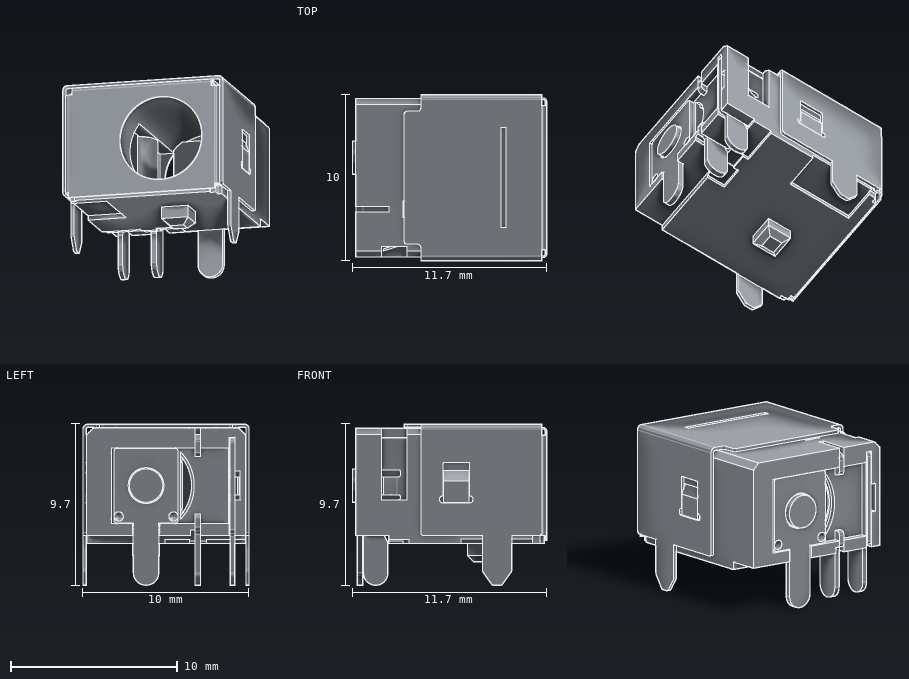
import cadquery as cq

OVERALL_X = 11.7
OVERALL_Y = 10.0
OVERALL_Z = 9.7
CUT_MARGIN = 0.12

SHEET = 0.2
SHELL_BEND = 0.29
SHELL_FRONT = 4.12
SHELL_REAR = 11.41
SHELL_BOTTOM = 2.98
SHELL_CORNER = 0.2
TONGUE_FRONT = 3.11
TONGUE_HALF = 4.0
SHELL_HALF = OVERALL_Y / 2
SHELL_INNER_HALF = SHELL_HALF - SHEET
SHELL_INNER_TOP = OVERALL_Z - SHEET

TOP_GAP = 0.05
SIDE_GAP = 0.02
FACE_X = 0.2
HOUSING_REAR = 11.3
HOUSING_HALF = SHELL_INNER_HALF - SIDE_GAP
HOUSING_TOP = SHELL_INNER_TOP - TOP_GAP
HOUSING_CHAMFER = 0.39
HOUSING_BOTTOM = SHELL_BOTTOM
FOOT_BOTTOM = 2.52
FOOT_FRONT = 2.19
FOOT_REAR = 11.55

AXIS_Y = 1.2
AXIS_Z = 6.0
MOUTH_RADIUS = 2.56
BORE_RADIUS = 2.74
LIP_RADIUS = 2.9
LIP_DEPTH = 0.3

RECESS_FLOOR = 0.63
RECESS_Y = (-3.75, 3.29)
RECESS_Z = (3.71, 8.27)

LEG_X = (0.67, 2.14)
SIDE_TERMINAL_Y = (-4.14, -3.85)
MID_TERMINAL_Y = (-2.07, -1.73)


def box(x, y, z):
    """Block given by its (low, high) range along each axis."""
    size = (x[1] - x[0], y[1] - y[0], z[1] - z[0])
    return cq.Workplane("XY").box(*size, centered=False).translate((x[0], y[0], z[0]))


def cylinder_x(radius, x, y=AXIS_Y, z=AXIS_Z):
    """Round bar along X over the (low, high) range x."""
    return cq.Workplane("YZ", origin=(x[0], y, z)).circle(radius).extrude(x[1] - x[0])


WINDOW_X = (5.44, 7.05)
WINDOW_Z = (4.96, 7.38)
WINDOW_ROUND = 0.07
WINDOW_LOBE_HEIGHT = 0.42
WINDOW_LOBE_ROUND = 0.2
WINDOW_LOBE_X = (5.24, 7.25)
SHELL_LEG_X = (7.82, 9.59)
SHELL_LEG_TIP_X = (8.41, 8.99)
SHELL_LEG_TAPER_Z = 0.85
SHELL_LEG_ROUND = 0.18
TOP_SLOT_X = (8.95, 9.25)
TOP_SLOT_HALF = 3.01
END_SHEET = 0.1
END_BEND = 0.22
END_NOTCH = 0.46
END_BOTTOM = 2.69
END_FLANGE_FRONT = 11.06


def shell_cover():
    """Sheet bent over the top and both sides, with the tongue at the front of the top."""
    outer = box((TONGUE_FRONT, SHELL_REAR), (-SHELL_HALF, SHELL_HALF), (SHELL_BOTTOM, OVERALL_Z))
    outer = outer.edges("|X and >Z").fillet(SHELL_BEND)
    inner = box(
        (TONGUE_FRONT, SHELL_REAR),
        (-SHELL_INNER_HALF, SHELL_INNER_HALF),
        (SHELL_BOTTOM, SHELL_INNER_TOP),
    )
    inner = inner.edges("|X and >Z").fillet(SHELL_BEND - SHEET)
    cover = outer.cut(inner)

    top_outline = (
        box((SHELL_FRONT, SHELL_REAR), (-SHELL_HALF, SHELL_HALF), (0, OVERALL_Z))
        .union(box((TONGUE_FRONT, SHELL_REAR), (-TONGUE_HALF, TONGUE_HALF), (0, OVERALL_Z)))
    )
    tongue_corners = cq.selectors.BoxSelector(
        (TONGUE_FRONT - CUT_MARGIN, -TONGUE_HALF - CUT_MARGIN, 0),
        (SHELL_FRONT + CUT_MARGIN, TONGUE_HALF + CUT_MARGIN, OVERALL_Z),
    )
    top_outline = top_outline.edges("|Z").edges(tongue_corners).fillet(SHELL_CORNER)
    cover = cover.intersect(top_outline)

    return cover.faces("<Z").edges("|Y").fillet(SHELL_CORNER)


def shell_windows():
    """Latch windows through both sides, each with a rounded lobe at either lower corner."""
    depth_y = (-SHELL_HALF - CUT_MARGIN, SHELL_HALF + CUT_MARGIN)
    window = box(WINDOW_X, depth_y, WINDOW_Z).edges("|Y and >Z").fillet(WINDOW_ROUND)
    lobe_z = (WINDOW_Z[0], WINDOW_Z[0] + WINDOW_LOBE_HEIGHT)
    lobes = box(WINDOW_LOBE_X, depth_y, lobe_z).edges("|Y").fillet(WINDOW_LOBE_ROUND)
    return window.union(lobes)


def shell_leg(side):
    """Tapered solder leg hanging from the side wall at Y = side * SHELL_HALF."""
    start = SHELL_HALF if side > 0 else -SHELL_INNER_HALF
    leg = (
        cq.Workplane("XZ", origin=(0, start, 0))
        .moveTo(SHELL_LEG_X[0], SHELL_BOTTOM + SHELL_CORNER)
        .lineTo(SHELL_LEG_X[0], SHELL_LEG_TAPER_Z)
        .lineTo(SHELL_LEG_TIP_X[0], 0)
        .lineTo(SHELL_LEG_TIP_X[1], 0)
        .lineTo(SHELL_LEG_X[1], SHELL_LEG_TAPER_Z)
        .lineTo(SHELL_LEG_X[1], SHELL_BOTTOM + SHELL_CORNER)
        .close()
        .extrude(SHEET)
    )
    tip = cq.selectors.BoxSelector(
        (SHELL_LEG_X[0] - CUT_MARGIN, -OVERALL_Y, -CUT_MARGIN),
        (SHELL_LEG_X[1] + CUT_MARGIN, OVERALL_Y, SHELL_LEG_TAPER_Z + CUT_MARGIN),
    )
    return leg.edges("|Y").edges(tip).fillet(SHELL_LEG_ROUND)


def shell_end():
    """Thin end plate whose top and side flanges lie inside the cover, notched at the corners."""
    flange_x = (END_FLANGE_FRONT, OVERALL_X)
    outer = box(flange_x, (-SHELL_INNER_HALF, SHELL_INNER_HALF), (END_BOTTOM, SHELL_INNER_TOP))
    outer = outer.faces(">X").edges("|Z or >Z").fillet(END_BEND)
    inner_half = SHELL_INNER_HALF - END_SHEET
    inner = box(
        (END_FLANGE_FRONT, OVERALL_X - END_SHEET),
        (-inner_half, inner_half),
        (END_BOTTOM, SHELL_INNER_TOP - END_SHEET),
    )
    inner = inner.faces(">X").edges("|Z or >Z").fillet(END_BEND - END_SHEET)
    end = outer.cut(inner)
    for side in (-1, 1):
        edge_y = sorted((side * (SHELL_INNER_HALF - END_NOTCH), side * SHELL_HALF))
        end = end.cut(box(flange_x, edge_y, (SHELL_INNER_TOP - END_NOTCH, OVERALL_Z)))
        flange_y = sorted((side * (SHELL_INNER_HALF - END_BEND), side * SHELL_HALF))
        end = end.cut(box(flange_x, flange_y, (END_BOTTOM, SHELL_BOTTOM)))
    return end.cut(cylinder_x(MOUTH_RADIUS, flange_x))


def make_shell():
    shell = shell_cover().cut(shell_windows())
    slot_z = (SHELL_INNER_TOP - CUT_MARGIN, OVERALL_Z + CUT_MARGIN)
    shell = shell.cut(box(TOP_SLOT_X, (-TOP_SLOT_HALF, TOP_SLOT_HALF), slot_z))
    for side in (-1, 1):
        shell = shell.union(shell_leg(side))
    return shell.union(shell_end())


LATCH_X = (5.49, 7.01)
LATCH_Z = (5.0, 6.28, 6.9)
LATCH_SETBACK = 0.01
LATCH_FACE = SHELL_HALF - LATCH_SETBACK
REBATE_FRONT = 11
REBATE_DEPTH = 0.09
PEG_SIZE = 1.64
PEG_X = 6.91
PEG_BOTTOM = 1.42
PEG_CHAMFER = 0.39
FOOT_LIP_HALF = 4.21
FOOT_REAR_INSET = 0.23
EDGE_POCKET_DEPTH = 2.36
FRONT_POCKET_X = (FOOT_FRONT, 3.42)
FRONT_POCKET_TOP = 2.75
FRONT_POCKET_Y = (-1.42, 0.07)
MID_POCKET_X = (FOOT_FRONT, 3.04)
MID_POCKET_TOP = 2.66
REAR_POCKET_X = (6.53, 10.83)
REAR_POCKET_TOP = 2.8
SIDE_POCKET_X = (1.75, 3.28)
SIDE_POCKET_BOTTOM = 5.15
TOP_POCKET_X = (3.04, 4.68)
TOP_POCKET_Y = (-2.39, -1.39)
TOP_POCKET_FLOOR = 9.13


def housing_block():
    """Chamfered block on a foot with inset rear corners, rebated for the end plate's flanges."""
    block = box((FACE_X, HOUSING_REAR), (-HOUSING_HALF, HOUSING_HALF), (HOUSING_BOTTOM, HOUSING_TOP))
    block = block.edges("|X and >Z").chamfer(HOUSING_CHAMFER)
    rebate_x = (REBATE_FRONT, HOUSING_REAR)
    core_half = HOUSING_HALF - REBATE_DEPTH
    core = box(rebate_x, (-core_half, core_half), (0, HOUSING_TOP - REBATE_DEPTH))
    core = core.edges("|X and >Z").chamfer(HOUSING_CHAMFER)
    block = block.cut(box(rebate_x, (-SHELL_HALF, SHELL_HALF), (0, OVERALL_Z)).cut(core))

    foot = box((FOOT_FRONT, HOUSING_REAR), (-HOUSING_HALF, HOUSING_HALF), (FOOT_BOTTOM, HOUSING_BOTTOM))
    for side in (-1, 1):
        inset_y = sorted((side * (HOUSING_HALF - FOOT_REAR_INSET), side * SHELL_HALF))
        foot = foot.cut(box((REAR_POCKET_X[1], HOUSING_REAR), inset_y, (FOOT_BOTTOM, HOUSING_BOTTOM)))
    rear_lip = box((HOUSING_REAR, FOOT_REAR), (-FOOT_LIP_HALF, FOOT_LIP_HALF), (FOOT_BOTTOM, HOUSING_BOTTOM))
    return block.union(foot).union(rear_lip)


def foot_pockets():
    """Shallow pockets under the foot that leave standing pads."""
    edge_y = (-HOUSING_HALF, EDGE_POCKET_DEPTH - HOUSING_HALF)
    front_z = (FOOT_BOTTOM, FRONT_POCKET_TOP)
    pockets = box(FRONT_POCKET_X, edge_y, front_z)
    pockets = pockets.union(box(FRONT_POCKET_X, FRONT_POCKET_Y, front_z))
    between_y = (edge_y[1], FRONT_POCKET_Y[0])
    pockets = pockets.union(box(MID_POCKET_X, between_y, (FOOT_BOTTOM, MID_POCKET_TOP)))
    return pockets.union(box(REAR_POCKET_X, edge_y, (FOOT_BOTTOM, REAR_POCKET_TOP)))


def locating_peg():
    """Square peg under the foot with a chamfered tip."""
    peg_y = (AXIS_Y - PEG_SIZE / 2, AXIS_Y + PEG_SIZE / 2)
    peg = box((PEG_X, PEG_X + PEG_SIZE), peg_y, (PEG_BOTTOM, FOOT_BOTTOM))
    return peg.faces("<Z").edges().chamfer(PEG_CHAMFER)


def latch(side):
    """Wedge on the side wall that snaps into the shell's window."""
    wedge = (
        cq.Workplane("YZ", origin=(LATCH_X[0], 0, 0))
        .moveTo(HOUSING_HALF, LATCH_Z[0])
        .lineTo(LATCH_FACE, LATCH_Z[0])
        .lineTo(LATCH_FACE, LATCH_Z[1])
        .lineTo(HOUSING_HALF, LATCH_Z[2])
        .close()
        .extrude(LATCH_X[1] - LATCH_X[0])
    )
    return wedge if side > 0 else wedge.mirror("XZ")


BLOCK_HALF_Y = 2.08
BLOCK_REAR = 1.4
SPRING_Z = (4.39, 7.63)
SPRING_X = (3.51, 6.08)
SPRING_ROOT_Y = -1.87
SPRING_CREST_Y = -0.96
SPRING_THICKNESS = 0.18
SPRING_POCKET_X = (1.05, 8.78)
SPRING_POCKET_FLOOR_Y = -1.83
SPRING_CLEARANCE = 0.07


def socket_opening():
    """Face recess, stepped bore along X and the pocket beside it for the contact spring."""
    recess = box((0, RECESS_FLOOR), RECESS_Y, RECESS_Z)
    lip_x = (RECESS_FLOOR, RECESS_FLOOR + LIP_DEPTH)
    lip = cylinder_x(LIP_RADIUS, lip_x)
    bore = cylinder_x(BORE_RADIUS, (lip_x[1], OVERALL_X))
    pocket = box(
        SPRING_POCKET_X,
        (SPRING_POCKET_FLOOR_Y, AXIS_Y),
        (SPRING_Z[0] - SPRING_CLEARANCE, SPRING_Z[1] + SPRING_CLEARANCE),
    )
    return recess.union(lip).union(bore).union(pocket)


def contact_spring():
    """Bowed strip whose crest leans towards the socket axis."""
    crest_x = sum(SPRING_X) / 2
    back_y = SPRING_ROOT_Y - SPRING_THICKNESS
    back_crest_y = SPRING_CREST_Y - SPRING_THICKNESS
    return (
        cq.Workplane("XY", origin=(0, 0, SPRING_Z[0]))
        .moveTo(SPRING_X[0], SPRING_ROOT_Y)
        .threePointArc((crest_x, SPRING_CREST_Y), (SPRING_X[1], SPRING_ROOT_Y))
        .lineTo(SPRING_X[1], back_y)
        .threePointArc((crest_x, back_crest_y), (SPRING_X[0], back_y))
        .close()
        .extrude(SPRING_Z[1] - SPRING_Z[0])
    )


def terminal_block():
    """Block across the bore that carries the centre terminal."""
    block_y = (AXIS_Y - BLOCK_HALF_Y, AXIS_Y + BLOCK_HALF_Y)
    return box((RECESS_FLOOR, BLOCK_REAR), block_y, RECESS_Z)


PLATE_FRONT = 0.28
PLATE_HALF_Y = 1.93
PLATE_Z = (3.74, 8.24)
PLATE_CORNER = 0.16
CENTRE_LEG_WIDTH = 1.55
CENTRE_LEG_SLOT_WIDTH = 1.63
RIVET_RADIUS = 1.01
RIVET_HOLE_RADIUS = 1.08
RIVET_GROOVE_DEPTH = 0.12
DIMPLE_RADIUS = 0.28
DIMPLE_DEPTH = 0.14
DIMPLE_OFFSET_Y = 1.65
DIMPLE_Z = 4.14


def centre_terminal():
    """Upright plate with a riveted head in a narrow groove, two dimples and one round-ended leg."""
    plate_x = (PLATE_FRONT, RECESS_FLOOR)
    plate = box(plate_x, (AXIS_Y - PLATE_HALF_Y, AXIS_Y + PLATE_HALF_Y), PLATE_Z)
    plate = plate.edges("|X").fillet(PLATE_CORNER)
    leg_radius = CENTRE_LEG_WIDTH / 2
    leg = box(plate_x, (AXIS_Y - leg_radius, AXIS_Y + leg_radius), (leg_radius, AXIS_Z))
    leg = leg.union(cylinder_x(leg_radius, plate_x, z=leg_radius))
    groove = cylinder_x(RIVET_HOLE_RADIUS, (PLATE_FRONT, PLATE_FRONT + RIVET_GROOVE_DEPTH))
    terminal = plate.union(leg).cut(groove).union(cylinder_x(RIVET_RADIUS, (0, RECESS_FLOOR)))
    for side in (-1, 1):
        dimple = cq.Solid.makeCone(
            DIMPLE_RADIUS,
            0,
            DIMPLE_DEPTH,
            pnt=cq.Vector(PLATE_FRONT, AXIS_Y + side * DIMPLE_OFFSET_Y, DIMPLE_Z),
            dir=cq.Vector(1, 0, 0),
        )
        terminal = terminal.cut(cq.Workplane(dimple))
    return terminal


def centre_leg_slot():
    """Slot for the leg through the sill below the face recess."""
    half = CENTRE_LEG_SLOT_WIDTH / 2
    return box((0, RECESS_FLOOR), (AXIS_Y - half, AXIS_Y + half), (0, RECESS_Z[1]))


EDGE_FRONT = 0.21
STEP_RADIUS = (LEG_X[0] - EDGE_FRONT) / 2
LEG_RELIEF = (0.21, 0.41)
MID_UPPER_Z = (7.75, 9.08)
MID_LOWER_TOP = 4.28
MID_SOLE = 3.28
MID_PRONG_ROUND = 0.42
MID_TIP_ROUND = 0.25
MID_SLOT_REAR = 2.21
SILL_NOTCH_Y = (MID_TERMINAL_Y[0], -1.46)
SILL_NOTCH_TOP = 3.32
SIDE_SLOT_Y = (SIDE_TERMINAL_Y[0], -3.79)
SIDE_SLOT_TOP = 8.9
SIDE_SLOT_REAR = 3.28
SIDE_TERMINAL_TOP = 8.86
SIDE_TERMINAL_REAR = 3.51
SIDE_TERMINAL_ROUND = 0.26
SIDE_SOLE = 3.12
TAB_RELIEF_REAR = 2.9
TAB_RELIEF_ROUND = 0.14
TAB_RELIEF_Z = ((5.15, 5.44), (6.53, 6.95))
TAB_ROOT_X = 2.69
TAB_TIP_X = 1.87
TAB_TIP_Y = -4.4
TAB_THICKNESS = 0.12
TAB_WINDOW_Y = (-4.45, SIDE_TERMINAL_Y[0])
TAB_WINDOW_Z = (5.15, 6.87)


def edge_leg(y, sole):
    """Round-ended leg in an XZ plane, stepped back under the sole and relieved beside its root."""
    radius = (LEG_X[1] - LEG_X[0]) / 2
    root_x = LEG_X[1] - LEG_RELIEF[0]
    return (
        cq.Workplane("XZ", origin=(0, y[1], 0))
        .moveTo(EDGE_FRONT, sole + STEP_RADIUS)
        .radiusArc((EDGE_FRONT + STEP_RADIUS, sole), -STEP_RADIUS)
        .radiusArc((LEG_X[0], sole - STEP_RADIUS), STEP_RADIUS)
        .lineTo(LEG_X[0], radius)
        .threePointArc((sum(LEG_X) / 2, 0), (LEG_X[1], radius))
        .lineTo(LEG_X[1], HOUSING_BOTTOM - LEG_RELIEF[1])
        .lineTo(root_x, HOUSING_BOTTOM)
        .lineTo(root_x, sole + STEP_RADIUS)
        .close()
        .extrude(y[1] - y[0])
    )


def mid_terminal():
    """Two round-cornered prongs showing at the face, and a leg below the lower one."""
    upper = box((EDGE_FRONT, MID_SLOT_REAR), MID_TERMINAL_Y, MID_UPPER_Z)
    upper = upper.edges("|Y and <X and >Z").fillet(MID_PRONG_ROUND)
    upper = upper.edges("|Y and <X and <Z").fillet(MID_TIP_ROUND)
    lower_x = (EDGE_FRONT, LEG_X[1] - LEG_RELIEF[0])
    lower = box(lower_x, MID_TERMINAL_Y, (MID_SOLE + STEP_RADIUS, MID_LOWER_TOP))
    lower = lower.edges("|Y and <X and >Z").fillet(MID_TIP_ROUND)
    return upper.union(lower).union(edge_leg(MID_TERMINAL_Y, MID_SOLE))


def mid_terminal_slots():
    """Slot from the top into the face recess, slot in the sill, and the channel around the leg's root."""
    top_slot = box((0, MID_SLOT_REAR), MID_TERMINAL_Y, (MID_UPPER_Z[0], OVERALL_Z))
    sill_slot = box((0, RECESS_FLOOR), MID_TERMINAL_Y, (0, RECESS_Z[1]))
    notch = box((0, FOOT_FRONT), SILL_NOTCH_Y, (0, SILL_NOTCH_TOP))
    return top_slot.union(sill_slot).union(notch)


def side_terminal():
    """Plate standing behind the side pocket, with a leg and a tab bent outwards from it."""
    plate = box(
        (EDGE_FRONT, SIDE_TERMINAL_REAR),
        SIDE_TERMINAL_Y,
        (SIDE_SOLE + STEP_RADIUS, SIDE_TERMINAL_TOP),
    )
    plate = plate.edges("|Y and <X and >Z").fillet(SIDE_TERMINAL_ROUND)
    terminal = plate.union(edge_leg(SIDE_TERMINAL_Y, SIDE_SOLE))
    for relief_z in TAB_RELIEF_Z:
        relief = box((SIDE_POCKET_X[0], TAB_RELIEF_REAR), SIDE_TERMINAL_Y, relief_z)
        relief = relief.edges("|Y and >X").fillet(TAB_RELIEF_ROUND)
        terminal = terminal.cut(relief)
    tab = (
        cq.Workplane("XY", origin=(0, 0, TAB_RELIEF_Z[0][1]))
        .moveTo(TAB_ROOT_X, SIDE_TERMINAL_Y[0])
        .lineTo(TAB_TIP_X, TAB_TIP_Y)
        .lineTo(TAB_TIP_X, TAB_TIP_Y + TAB_THICKNESS)
        .lineTo(TAB_ROOT_X, SIDE_TERMINAL_Y[0] + TAB_THICKNESS)
        .close()
        .extrude(TAB_RELIEF_Z[1][0] - TAB_RELIEF_Z[0][1])
    )
    return terminal.union(tab)


def side_terminal_slots():
    """Slot in the face, pocket in the side wall and the window between face and pocket."""
    slot = box((0, SIDE_SLOT_REAR), SIDE_SLOT_Y, (HOUSING_BOTTOM, SIDE_SLOT_TOP))
    pocket = box(
        SIDE_POCKET_X,
        (-SHELL_HALF, SIDE_TERMINAL_Y[0]),
        (SIDE_POCKET_BOTTOM, OVERALL_Z),
    )
    window = box((0, SIDE_POCKET_X[0]), TAB_WINDOW_Y, TAB_WINDOW_Z)
    return slot.union(pocket).union(window)


def make_connector():
    connector = housing_block().cut(foot_pockets())
    connector = connector.cut(box(TOP_POCKET_X, TOP_POCKET_Y, (TOP_POCKET_FLOOR, OVERALL_Z)))
    connector = connector.union(locating_peg())
    for side in (-1, 1):
        connector = connector.union(latch(side))
    connector = connector.cut(socket_opening()).cut(centre_leg_slot())
    connector = connector.cut(mid_terminal_slots()).cut(side_terminal_slots())
    for insert in (
        terminal_block(),
        contact_spring(),
        centre_terminal(),
        mid_terminal(),
        side_terminal(),
    ):
        connector = connector.union(insert)
    return connector


shell = make_shell()
connector = make_connector()
result = cq.Compound.makeCompound([connector.val(), shell.val()])